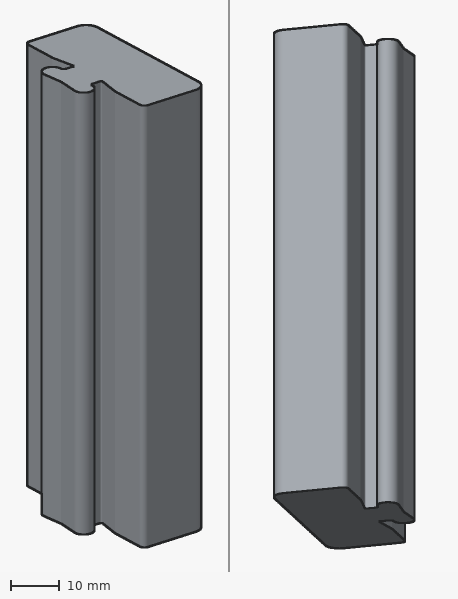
import cadquery as cq
import math

length = 100.0
width = 40.0
depth = 23.0

body_depth = 16.6
back_radius = 3.0
front_radius = 1.2

relief_half_width = 10.5
relief_angle = math.radians(10)

neck_half_width = 4.6
neck_radius = 0.6
root_radius = 0.3
head_half_width = 7.5
shoulder_depth = 18.5
head_angle = math.atan(0.1)

half_width = width / 2
root_depth = body_depth - (relief_half_width - neck_half_width) * math.tan(relief_angle)

tip_radius = (depth - shoulder_depth) / 2
tip_centre_x = head_half_width - tip_radius
tip_centre_depth = shoulder_depth + tip_radius
tip_end_x = tip_centre_x - tip_radius * math.sin(head_angle)
tip_end_depth = tip_centre_depth + tip_radius * math.cos(head_angle)
head_centre_depth = tip_end_depth - tip_end_x * math.tan(head_angle)

half_corners = [
    (half_width, 0, back_radius),
    (half_width, -body_depth, front_radius),
    (relief_half_width, -body_depth, 0),
    (neck_half_width, -root_depth, root_radius),
    (neck_half_width, -shoulder_depth, neck_radius),
]

right_side = [(x, y) for x, y, _ in half_corners]
left_side = [(-x, y) for x, y in reversed(right_side)]
profile = (
    cq.Workplane("XY")
    .polyline(right_side + [(tip_centre_x, -shoulder_depth)])
    .threePointArc((head_half_width, -tip_centre_depth), (tip_end_x, -tip_end_depth))
    .lineTo(0, -head_centre_depth)
    .lineTo(-tip_end_x, -tip_end_depth)
    .threePointArc((-head_half_width, -tip_centre_depth), (-tip_centre_x, -shoulder_depth))
)
for x, y in left_side:
    profile = profile.lineTo(x, y)
result = profile.close().extrude(length)

for corner_x, corner_y, radius in half_corners:
    if radius > 0:
        for side in (-1, 1):
            edge_middle = (side * corner_x, corner_y, length / 2)
            long_edge = cq.selectors.NearestToPointSelector(edge_middle)
            result = result.edges(long_edge).fillet(radius)